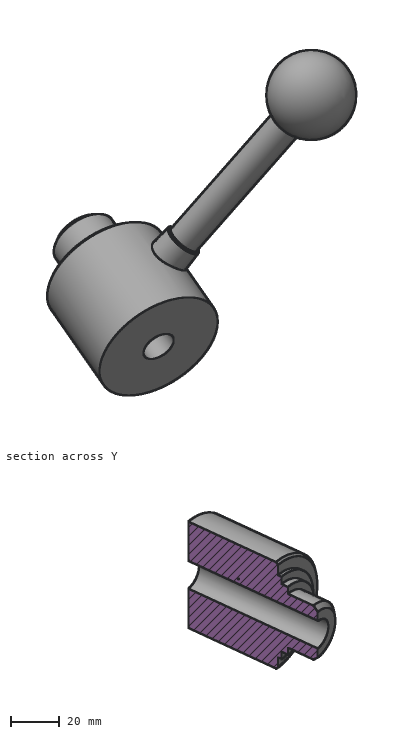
import cadquery as cq
import math

body_diameter = 55.0
body_chamfer = 1.0
large_collar_diameter = 42.5
small_collar_diameter = 35.0
shaft_diameter = 28.0
shaft_chamfer = 2.2
bore_diameter = 14.0
small_collar_start = 15.3
large_collar_start = 18.6
body_start = 20.4
hub_length = 66.5

overall_depth = 130.8
handle_angle = 45.0
tilt_from_vertical = 90.0 - handle_angle
handle_x = 40.4
rod_diameter = 14.0
ball_diameter = 36.9
reach_y = overall_depth - body_diameter / 2 - ball_diameter / 2
ball_distance = reach_y / math.cos(math.radians(handle_angle))
socket_base_diameter = 17.8
socket_tip_diameter = 16.2
socket_base_distance = 23.5
socket_tip_distance = 36.6
socket_edge_chamfer = 0.5


def disc(diameter, start, end):
    """Cylinder on the hub axis between two X positions."""
    return cq.Workplane("YZ", origin=(start, 0, 0)).circle(diameter / 2).extrude(end - start)


def make_hub():
    shaft = disc(shaft_diameter, 0, hub_length).faces("<X").chamfer(shaft_chamfer)
    small_collar = disc(small_collar_diameter, small_collar_start, hub_length)
    large_collar = disc(large_collar_diameter, large_collar_start, hub_length)
    body = disc(body_diameter, body_start, hub_length).faces("<X").chamfer(body_chamfer)
    return body.union(large_collar).union(small_collar).union(shaft)


def make_handle():
    """Tapered socket, rod and ball, built upright and then tilted."""
    socket = (
        cq.Workplane("XY")
        .workplane(offset=socket_base_distance)
        .circle(socket_base_diameter / 2)
        .workplane(offset=socket_tip_distance - socket_base_distance)
        .circle(socket_tip_diameter / 2)
        .loft()
        .faces(">Z")
        .chamfer(socket_edge_chamfer)
    )
    rod = (
        cq.Workplane("XY")
        .workplane(offset=socket_base_distance)
        .circle(rod_diameter / 2)
        .extrude(ball_distance - socket_base_distance)
    )
    ball = cq.Workplane("XY").sphere(ball_diameter / 2).translate((0, 0, ball_distance))
    handle = socket.union(rod).union(ball)
    tilted = handle.rotate((0, 0, 0), (1, 0, 0), -tilt_from_vertical)
    return tilted.translate((handle_x, 0, 0))


bore = disc(bore_diameter, 0, hub_length)
result = make_hub().union(make_handle()).cut(bore)